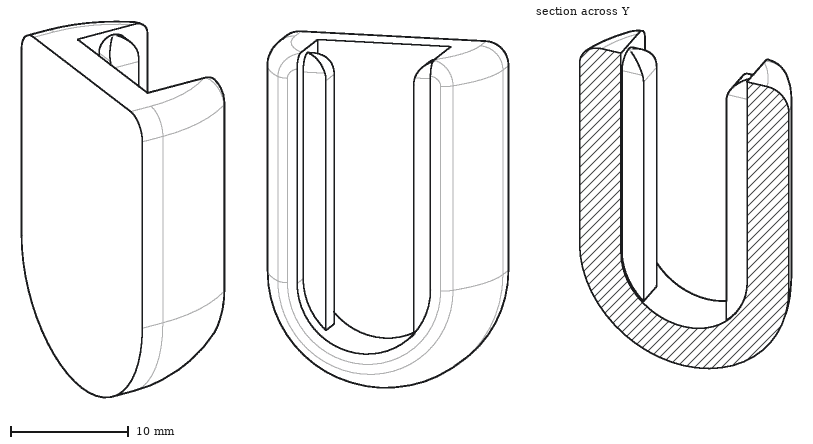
import cadquery as cq
import math

height = 29.8
half_width = 10.1
depth = 9.9
round_center_z = half_width
rim_depth = 2.0
side_arc_radius = 12.52
top_edge_radius = 2.0
front_edge_radius = 1.2

slot_half_width = 5.85
slot_floor_y = 3.0

rail_width = 2.75
rail_reach = 2.0
rail_center_y = 6.5
rail_top_z = 29.35


def half_section(plane):
    """Half of the cross-section, with its bulged side running from the band to the front."""

    def side_point(y):
        rise = y - rim_depth
        inset = side_arc_radius - math.sqrt(side_arc_radius**2 - rise**2)
        return (half_width - inset, y)

    middle_y = (rim_depth + depth) / 2
    return (
        cq.Workplane(plane)
        .lineTo(half_width, 0)
        .lineTo(half_width, rim_depth)
        .threePointArc(side_point(middle_y), side_point(depth))
        .lineTo(0, depth)
        .close()
    )


def make_body():
    """Solid outer shape with its rounded edges."""
    section_plane = cq.Plane(origin=(0, 0, round_center_z), xDir=(1, 0, 0), normal=(0, 0, 1))
    right_half = half_section(section_plane).extrude(height - round_center_z)
    upper = right_half.union(right_half.mirror("YZ"))
    lower = half_section(section_plane).revolve(360, (0, 0, 0), (0, 1, 0))
    body = upper.union(lower)
    top_side_edges = body.faces(">Z").edges("not |X")
    body = top_side_edges.fillet(top_edge_radius)
    return body.faces(">Y").edges("not (>Z and |X)").fillet(front_edge_radius)


def make_slot():
    """Volume of the slot, before the rails are taken out of it."""
    straight = cq.Workplane("XY").box(
        2 * slot_half_width, depth, height - round_center_z, centered=(True, False, False)
    ).translate((0, slot_floor_y, round_center_z))
    round_end = (
        cq.Workplane("XZ", origin=(0, slot_floor_y, round_center_z))
        .circle(slot_half_width)
        .extrude(-depth)
    )
    return straight.union(round_end)



def make_rails():
    """Two rails with a crowned top, rounded both across and along the way they stand out."""
    half_rail = rail_width / 2
    crown_start_z = rail_top_z - rail_reach
    round_start_z = rail_top_z - half_rail
    rail_y = rail_center_y - half_rail

    side_profile = (
        cq.Workplane("XZ", origin=(0, rail_y, 0))
        .moveTo(slot_half_width, round_center_z)
        .lineTo(slot_half_width - rail_reach, round_center_z)
        .lineTo(slot_half_width - rail_reach, crown_start_z)
        .radiusArc((slot_half_width, rail_top_z), rail_reach)
        .close()
        .extrude(-rail_width)
    )
    front_profile = (
        cq.Workplane("YZ")
        .moveTo(rail_y, round_center_z)
        .lineTo(rail_y, round_start_z)
        .threePointArc((rail_center_y, rail_top_z), (rail_y + rail_width, round_start_z))
        .lineTo(rail_y + rail_width, round_center_z)
        .close()
        .extrude(slot_half_width)
    )
    lower_rail = cq.Workplane("XY").box(
        rail_reach, rail_width, slot_half_width, centered=False
    ).translate((slot_half_width - rail_reach, rail_y, round_center_z - slot_half_width))
    right_rail = side_profile.intersect(front_profile).union(lower_rail)
    return right_rail.union(right_rail.mirror("YZ"))


result = make_body().cut(make_slot().cut(make_rails()))